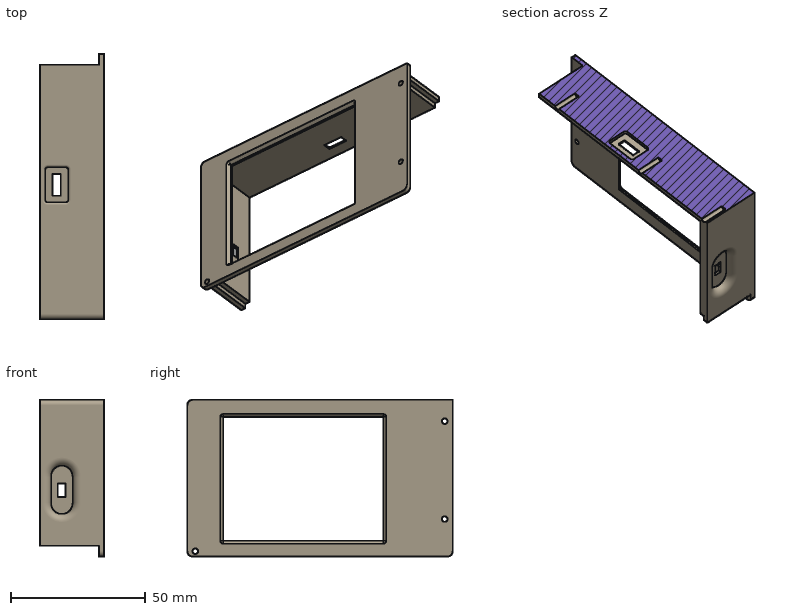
import cadquery as cq

depth_x = 24.0
length_y = 99.0
height_z = 58.5

plate_thickness = 2.0
wall_thickness = 4.0
corner_radius = 2.0

wall_end_gap = 4.0
lap_step = 2.0
lap_thickness = wall_thickness / 2

window_length_y = 59.5
window_height_z = 46.0
window_centre = (43.25, 29.0)
window_edge = 0.8
bevel_angle = 45.0
window_bevel = plate_thickness - window_edge

hole_diameter = 2.0
blind_hole_depth = 10.0
hole_line = wall_thickness / 2
blind_hole_places = [
    (hole_line, height_z - hole_line),
    (37.0, height_z - hole_line),
    (83.0, height_z - hole_line),
]
plate_hole_inset = 3.0
plate_hole_places = [
    (plate_hole_inset, 2.0),
    (length_y - plate_hole_inset, 14.0),
    (length_y - plate_hole_inset, 50.5),
]

rim_tolerance = 0.01

oval_x = 8.2
oval_z = 24.9
oval_depth = 3.0
oval_width = 8.0
oval_length = 18.0
oval_edge_radius = oval_depth
oval_port_x = 8.1
oval_port_z = 24.75
oval_port_width = 2.8
oval_port_length = 5.0

top_recess_x = 6.3
top_recess_y = 50.2
top_recess_depth = 3.4
top_recess_width = 8.7
top_recess_length = 13.0
top_recess_corner_radius = 1.0
top_recess_edge_radius = 1.0
top_port_width = 3.0
top_port_length = 8.0


def rim_selector(centre, size):
    """Selector for the edges around a recess mouth of the given centre and size."""
    low = [c - s / 2 - rim_tolerance for c, s in zip(centre, size)]
    high = [c + s / 2 + rim_tolerance for c, s in zip(centre, size)]
    return cq.selectors.BoxSelector(low, high)


def make_plate():
    """Cover plate with three rounded corners and a square one at +Y, +Z."""
    plate = cq.Workplane("XY").box(plate_thickness, length_y, height_z, centered=False)
    plate = plate.translate((depth_x - plate_thickness, 0, 0))
    return plate.edges("|X and (<Y or <Z)").fillet(corner_radius)


def make_walls():
    """Top wall and -Y wall as one L, with a lap step at both free ends."""
    outer_y = length_y - wall_end_gap
    inner_y = outer_y - lap_step
    outer_z = wall_end_gap
    inner_z = outer_z + lap_step
    outline = [
        (0, outer_z),
        (0, height_z),
        (outer_y, height_z),
        (outer_y, height_z - lap_thickness),
        (inner_y, height_z - lap_thickness),
        (inner_y, height_z - wall_thickness),
        (wall_thickness, height_z - wall_thickness),
        (wall_thickness, inner_z),
        (lap_thickness, inner_z),
        (lap_thickness, outer_z),
    ]
    walls = cq.Workplane("YZ").polyline(outline).close().extrude(depth_x)
    outer_corner = cq.selectors.NearestToPointSelector((depth_x / 2, 0, height_z))
    return walls.edges(outer_corner).fillet(corner_radius)


def cut_window(body):
    """Rectangular opening through the plate, bevelled outwards at the outer face."""
    window = cq.Workplane("YZ").rect(window_length_y, window_height_z).extrude(depth_x)
    window = window.translate((0, *window_centre))
    bevel = cq.Workplane("YZ", origin=(depth_x - window_bevel, *window_centre))
    bevel = bevel.rect(window_length_y, window_height_z).extrude(window_bevel, taper=-bevel_angle)
    return body.cut(window).cut(bevel)


def cut_screw_holes(body):
    """Blind holes in the wall rims and through holes in the plate."""
    blind = cq.Workplane("YZ").pushPoints(blind_hole_places)
    blind = blind.circle(hole_diameter / 2).extrude(blind_hole_depth)
    through = cq.Workplane("YZ").pushPoints(plate_hole_places)
    through = through.circle(hole_diameter / 2).extrude(depth_x)
    return body.cut(blind).cut(through)


def cut_oval_recess(body):
    """Oval recess with a rim rounded over its full depth, and a port in its floor."""
    rim_centre = (oval_x, 0, oval_z)
    face = cq.Workplane("XZ", origin=rim_centre)
    body = body.cut(face.slot2D(oval_length, oval_width, 90).extrude(-wall_thickness))
    rim = rim_selector(rim_centre, (oval_width, 0, oval_length))
    body = body.edges(rim).fillet(oval_edge_radius)
    floor = face.workplane(offset=-oval_depth).slot2D(oval_length, oval_width, 90)
    body = body.union(floor.extrude(oval_depth - wall_thickness))
    port = cq.Workplane("XZ", origin=(oval_port_x, 0, oval_port_z))
    return body.cut(port.rect(oval_port_width, oval_port_length).extrude(-wall_thickness))


def cut_top_recess(body):
    """Rounded rectangular recess with a rounded rim, and a port in its floor."""
    rim_centre = (top_recess_x, top_recess_y, height_z)
    face = cq.Workplane("XY", origin=rim_centre)
    recess = face.rect(top_recess_width, top_recess_length).extrude(-top_recess_depth)
    body = body.cut(recess.edges("|Z").fillet(top_recess_corner_radius))
    rim = rim_selector(rim_centre, (top_recess_width, top_recess_length, 0))
    body = body.edges(rim).fillet(top_recess_edge_radius)
    return body.cut(face.rect(top_port_width, top_port_length).extrude(-wall_thickness))


body = make_plate().union(make_walls())
body = cut_window(body)
body = cut_oval_recess(body)
body = cut_top_recess(body)
result = cut_screw_holes(body)